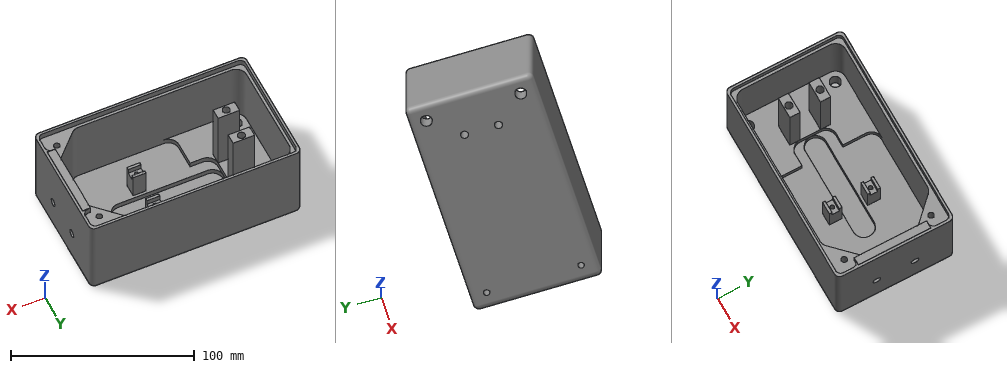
import cadquery as cq
import math

LENGTH = 127.0
WIDTH = 73.025
RIM_TOP = 52.705
OUTER_RADIUS = 3.175

RIM_WALL = 1.5
RECESS_DEPTH = 3.7
RECESS_RADIUS = 3.175
LEDGE_Z = RIM_TOP - RECESS_DEPTH

BAR_LENGTH = 45.0
BAR_THICKNESS = 4.75
BAR_TOP = 53.02
BAR_OUTER_X = LENGTH / 2 - RIM_WALL
BAR_INNER_X = BAR_OUTER_X - BAR_THICKNESS
BAR_ROOT_RADIUS = 3.5

SIDE_WALL = 3.15
END_WALL = 6.65
CAVITY_LEFT = -LENGTH / 2 + SIDE_WALL
CAVITY_RIGHT = LENGTH / 2 - END_WALL
CAVITY_HALF_WIDTH = WIDTH / 2 - SIDE_WALL
CORNER_CUT = 16.2
CAVITY_RADIUS = 6.35

FLOOR_Z = 6.35
STEP = FLOOR_Z / 2
SHELF_Z = FLOOR_Z + STEP
CHANNEL_Z = FLOOR_Z - STEP
SHELF_END_X = -19.5
FLOOR_RADIUS = CAVITY_RADIUS
CHANNEL_LENGTH = 66.675
CHANNEL_WIDTH = 12.7
NECK_END_X = -CHANNEL_LENGTH / 2
NECK_WIDTH = 2 * CHANNEL_WIDTH

POST_LENGTH = 13.0
POST_WIDTH = (NECK_WIDTH - CHANNEL_WIDTH) / 2
POST_TOP = LEDGE_Z
POST_X = NECK_END_X - POST_LENGTH / 2
POST_Y = (CHANNEL_WIDTH + POST_WIDTH) / 2
POST_HOLE = 4.3
POST_HOLE_Y = 9.7

STANDOFF_X = 13.2
STANDOFF_Y = 11.9
STANDOFF_LENGTH = 7.7
STANDOFF_WIDTH = 7.9
STANDOFF_TOP = 22.225
GROOVE_WIDTH = 4.6
GROOVE_DEPTH = 3.175
STANDOFF_HOLE = 2.38125
STANDOFF_HOLE_DEPTH = 9.525
DRILL_POINT_ANGLE = 118

END_HOLE = GROOVE_WIDTH
END_HOLE_Z = STANDOFF_TOP - GROOVE_DEPTH + END_HOLE / 2

CORNER_HOLE_X = 54.1
CORNER_HOLE_Y = 27.0
LARGE_CORNER_HOLE = 6.45
SMALL_CORNER_HOLE = 3.4

SIDES = (-1, 1)


def block(x_min, x_max, width, z_min, z_max, y_center=0.0):
    """Upright block between two X and two Z limits."""
    size = (x_max - x_min, width, z_max - z_min)
    center = ((x_min + x_max) / 2, y_center, (z_min + z_max) / 2)
    return cq.Workplane("XY").box(*size).translate(center)


def drill(x, y, diameter, z_min, z_max):
    """Vertical cylinder used as a hole."""
    return cq.Workplane("XY", origin=(x, y, z_min)).circle(diameter / 2).extrude(z_max - z_min)


def outer_box():
    box = block(-LENGTH / 2, LENGTH / 2, WIDTH, 0, RIM_TOP)
    return box.edges("|Z").fillet(OUTER_RADIUS).faces("<Z").edges().fillet(OUTER_RADIUS)


def lid_recess():
    """Recess inside the rim, stopping at the bar with a rounded corner at each bar end."""
    half_length = LENGTH / 2 - RIM_WALL
    recess = block(-half_length, half_length, WIDTH - 2 * RIM_WALL, LEDGE_Z, RIM_TOP)
    recess = recess.edges("|Z").fillet(RECESS_RADIUS)
    recess = recess.cut(block(BAR_INNER_X, LENGTH / 2, BAR_LENGTH, LEDGE_Z, RIM_TOP))
    for side in SIDES:
        bar_root = (half_length, side * BAR_LENGTH / 2, (LEDGE_Z + RIM_TOP) / 2)
        recess = recess.edges(cq.selectors.NearestToPointSelector(bar_root)).fillet(BAR_ROOT_RADIUS)
    return recess


def bar_top():
    return block(BAR_INNER_X, BAR_OUTER_X, BAR_LENGTH, RIM_TOP, BAR_TOP)


def cavity():
    """Full cavity down to the main floor, with 45 degree walls across the +X corners."""
    cut_x = CAVITY_RIGHT - CORNER_CUT
    cut_y = CAVITY_HALF_WIDTH - CORNER_CUT
    outline = [
        (CAVITY_LEFT, -CAVITY_HALF_WIDTH),
        (cut_x, -CAVITY_HALF_WIDTH),
        (CAVITY_RIGHT, -cut_y),
        (CAVITY_RIGHT, cut_y),
        (cut_x, CAVITY_HALF_WIDTH),
        (CAVITY_LEFT, CAVITY_HALF_WIDTH),
    ]
    sketch = cq.Workplane("XY", origin=(0, 0, FLOOR_Z)).polyline(outline).close()
    return sketch.extrude(LEDGE_Z - FLOOR_Z).edges("|Z").fillet(CAVITY_RADIUS)


def shelf():
    """Raised floor on the -X side, with the neck and the main floor left clear."""
    raised = block(CAVITY_LEFT, 0, 2 * CAVITY_HALF_WIDTH, FLOOR_Z, SHELF_Z)
    raised = raised.edges("|Z and <X").fillet(CAVITY_RADIUS)
    main_floor = block(SHELF_END_X, LENGTH / 2, 2 * CAVITY_HALF_WIDTH, FLOOR_Z, SHELF_Z)
    neck = block(NECK_END_X, LENGTH / 2, NECK_WIDTH, FLOOR_Z, SHELF_Z)
    for clearance in (main_floor, neck):
        raised = raised.cut(clearance.edges("|Z and <X").fillet(FLOOR_RADIUS))
    return raised


def channel():
    """Round-ended channel along the middle of the floor."""
    sketch = cq.Workplane("XY", origin=(0, 0, CHANNEL_Z)).slot2D(CHANNEL_LENGTH, CHANNEL_WIDTH)
    return sketch.extrude(FLOOR_Z - CHANNEL_Z)


def post(side):
    x_min = NECK_END_X - POST_LENGTH
    return block(x_min, NECK_END_X, POST_WIDTH, FLOOR_Z, POST_TOP, side * POST_Y)


def blind_hole(x, y, top_z):
    """Standoff hole with the conical bottom left by a drill point."""
    radius = STANDOFF_HOLE / 2
    point_height = radius / math.tan(math.radians(DRILL_POINT_ANGLE / 2))
    profile = (
        cq.Workplane("XZ", origin=(x, y, top_z))
        .lineTo(radius, 0)
        .lineTo(radius, -STANDOFF_HOLE_DEPTH)
        .lineTo(0, -STANDOFF_HOLE_DEPTH - point_height)
        .close()
    )
    return profile.revolve(360, (0, 0, 0), (0, 1, 0))


def standoff(side):
    """Standoff with a groove along X and a blind hole in the groove floor."""
    y = side * STANDOFF_Y
    x_min = STANDOFF_X - STANDOFF_LENGTH / 2
    x_max = STANDOFF_X + STANDOFF_LENGTH / 2
    groove_z = STANDOFF_TOP - GROOVE_DEPTH
    body = block(x_min, x_max, STANDOFF_WIDTH, FLOOR_Z, STANDOFF_TOP, y)
    body = body.cut(block(x_min, x_max, GROOVE_WIDTH, groove_z, STANDOFF_TOP, y))
    return body.cut(blind_hole(STANDOFF_X, y, groove_z))


def end_hole(side):
    plane = cq.Workplane("YZ", origin=(CAVITY_RIGHT, side * STANDOFF_Y, END_HOLE_Z))
    return plane.circle(END_HOLE / 2).extrude(END_WALL)


result = outer_box().cut(lid_recess()).union(bar_top())
result = result.cut(cavity()).union(shelf()).cut(channel())
for side in SIDES:
    corner_y = side * CORNER_HOLE_Y
    result = result.union(post(side)).union(standoff(side))
    result = result.cut(drill(POST_X, side * POST_HOLE_Y, POST_HOLE, 0, POST_TOP))
    result = result.cut(drill(-CORNER_HOLE_X, corner_y, LARGE_CORNER_HOLE, 0, LEDGE_Z))
    result = result.cut(drill(CORNER_HOLE_X, corner_y, SMALL_CORNER_HOLE, 0, LEDGE_Z))
    result = result.cut(end_hole(side))